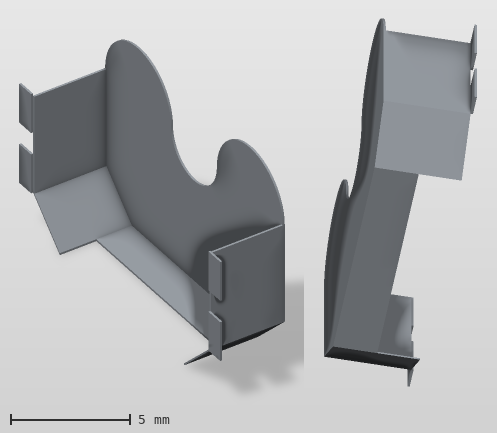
import cadquery as cq

overall_length = 15.27
overall_depth = 3.8
sheet = 0.1
lobe_radius = 2.5
plate_width = 13.5
housing_offset = 0.02
lobe_center_z = 7.0
corner_cut = 2.0
bottom_width = 9.44
bottom_flange_depth = 1.88
tab_length = 0.9
tab_height = 2.0
tab_pitch = 3.1

half_width = plate_width / 2
notch_radius = half_width - 2 * lobe_radius
lobe_center_x = half_width - lobe_radius
bottom_half_width = bottom_width / 2
wall_depth = overall_depth - sheet


def on_back_face():
    """Sketch plane with local axes X and Z whose positive extrusion runs toward -Y."""
    return cq.Workplane("XZ")


def make_back_plate():
    """Flat plate with two round ears, a round notch between them and cut lower corners."""
    return (
        on_back_face()
        .moveTo(-bottom_half_width, 0)
        .lineTo(bottom_half_width, 0)
        .lineTo(half_width, corner_cut)
        .lineTo(half_width, lobe_center_z)
        .threePointArc((lobe_center_x, lobe_center_z + lobe_radius), (notch_radius, lobe_center_z))
        .threePointArc((0, lobe_center_z - notch_radius), (-notch_radius, lobe_center_z))
        .threePointArc((-lobe_center_x, lobe_center_z + lobe_radius), (-half_width, lobe_center_z))
        .lineTo(-half_width, corner_cut)
        .close()
        .extrude(sheet)
    )


def make_rim():
    """Side walls, slanted corner flanges and the shallower bottom flange."""
    rim = (
        on_back_face()
        .moveTo(-half_width, lobe_center_z)
        .lineTo(-half_width, corner_cut)
        .lineTo(-bottom_half_width, 0)
        .lineTo(bottom_half_width, 0)
        .lineTo(half_width, corner_cut)
        .lineTo(half_width, lobe_center_z)
        .lineTo(half_width - sheet, lobe_center_z)
        .lineTo(half_width - sheet, corner_cut)
        .lineTo(bottom_half_width, sheet)
        .lineTo(-bottom_half_width, sheet)
        .lineTo(-half_width + sheet, corner_cut)
        .lineTo(-half_width + sheet, lobe_center_z)
        .close()
        .extrude(wall_depth)
    )
    relief = cq.Workplane("XY").box(
        bottom_width, wall_depth - bottom_flange_depth, corner_cut, centered=(True, False, False)
    ).translate((0, -wall_depth, 0))
    return rim.cut(relief)


def make_tab(side, bottom_z):
    """Solder tab meeting the front edge of a side wall; side is -1 or +1."""
    center_x = side * (overall_length - tab_length) / 2
    return (
        cq.Workplane("XY")
        .box(tab_length, sheet, tab_height, centered=(True, False, False))
        .translate((center_x, -overall_depth, bottom_z))
    )


housing = make_back_plate().union(make_rim()).translate((housing_offset, 0, 0))

tabs = []
for side in (-1, 1):
    for row in range(2):
        tabs.append(make_tab(side, corner_cut + row * tab_pitch).val())

result = cq.Compound.makeCompound([housing.val(), *tabs])